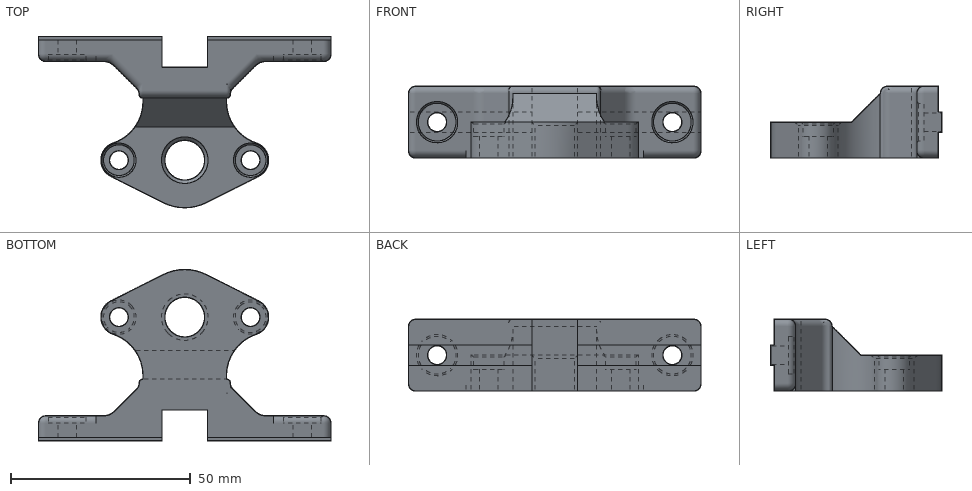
import cadquery as cq
import math

length = 81.3
depth = 47.65
height = 20.0
tab_depth = 1.0
tab_height = 5.7
edge_radius = 2.0
back_y = -tab_depth
slot_width = 12.5
slot_depth = 8.5

wing_thickness = 6.0
wing_front_y = back_y - wing_thickness
wing_inner_x = 24.6
wing_hole_x = 32.7
wing_hole_diameter = 5.2
wing_bore_diameter = 10.5
wing_bore_depth = 2.0

taper_start_x = 20.8
taper_fillet = 4.1
column_half_width = 12.7
column_front_y = -17.15
column_edge_radius = 1.0
column_fillet = 2.35

flange_thickness = 10.0
flange_y = -34.4
neck_half_width = 11.6
neck_radius = 12.0
lug_x = 18.3
lug_radius = 5.0
nose_radius = depth + flange_y
lug_hole_diameter = 5.1
lug_bore_diameter = 8.5
lug_bore_depth = 4.0
center_hole_diameter = 11.0
center_chamfer = 1.0
bore_chamfer = 0.5


def mirror_pair(shape):
    """Return the shape joined with its mirror image in X."""
    return shape.union(shape.mirror("YZ"))


def make_wing():
    """Right wing plate with rounded front, top, bottom and outer end edges."""
    wing = cq.Workplane("XY").box(
        length / 2 - wing_inner_x, wing_thickness, height, centered=False
    ).translate((wing_inner_x, wing_front_y, 0))
    outline_edges = wing.faces("<Y").edges("not <X")
    end_edges = wing.faces(">X").edges("|Y")
    return wing.newObject(outline_edges.vals() + end_edges.vals()).fillet(edge_radius)


def make_gusset():
    """Middle of the plate and the 45 degree tapered sides, rounded along the top."""
    taper_end_x = taper_start_x - (wing_front_y - column_front_y)
    gusset = (
        cq.Workplane("XY")
        .moveTo(-wing_inner_x, back_y)
        .lineTo(wing_inner_x, back_y)
        .lineTo(wing_inner_x, wing_front_y)
        .lineTo(taper_start_x, wing_front_y)
        .lineTo(taper_end_x, column_front_y)
        .lineTo(-taper_end_x, column_front_y)
        .lineTo(-taper_start_x, wing_front_y)
        .lineTo(-wing_inner_x, wing_front_y)
        .close()
        .extrude(height)
    )
    return gusset.faces(">Z").edges("not (>Y or <X or >X)").fillet(edge_radius)


def make_column():
    """Straight column between the tapered sides, rounded along its top and front edges."""
    column_depth = wing_front_y - column_front_y
    column = cq.Workplane("XY").box(
        2 * column_half_width, column_depth, height, centered=(True, False, False)
    ).translate((0, column_front_y, 0))
    column = column.faces(">Z").edges("<Y").fillet(edge_radius)
    return column.faces(">X or <X").edges("not (<Z or >Y)").fillet(column_edge_radius)


def blend_corners(block):
    """Round the upright inside corners at both ends of the tapered sides."""
    column_corner_y = wing_front_y - (taper_start_x - column_half_width)
    for side in (-1, 1):
        column_corner = (side * column_half_width, column_corner_y, height / 2)
        wing_corner = (side * taper_start_x, wing_front_y, height / 2)
        for corner, radius in ((column_corner, column_fillet), (wing_corner, taper_fillet)):
            block = block.edges(cq.selectors.NearestToPointSelector(corner)).fillet(radius)
    return block


def flange_outline():
    """Flange profile: lugs and nose joined by tangent lines, neck by tangent arcs."""
    normal_x = (nose_radius - lug_radius) / lug_x
    normal_y = -math.sqrt(1 - normal_x**2)
    nose_x = nose_radius * normal_x
    nose_y = flange_y + nose_radius * normal_y
    lug_low_x = lug_x + lug_radius * normal_x
    lug_low_y = flange_y + lug_radius * normal_y

    arc_x = neck_half_width + neck_radius
    center_distance = neck_radius + lug_radius
    arc_y = flange_y + math.sqrt(center_distance**2 - (arc_x - lug_x) ** 2)
    lug_share = lug_radius / center_distance
    lug_top_x = lug_x + lug_share * (arc_x - lug_x)
    lug_top_y = flange_y + lug_share * (arc_y - flange_y)
    end_angle = math.atan2(lug_top_y - arc_y, lug_top_x - arc_x) % (2 * math.pi)
    mid_angle = (math.pi + end_angle) / 2
    arc_mid_x = arc_x + neck_radius * math.cos(mid_angle)
    arc_mid_y = arc_y + neck_radius * math.sin(mid_angle)

    return (
        cq.Workplane("XY")
        .moveTo(-neck_half_width, wing_front_y)
        .lineTo(neck_half_width, wing_front_y)
        .lineTo(neck_half_width, arc_y)
        .threePointArc((arc_mid_x, arc_mid_y), (lug_top_x, lug_top_y))
        .threePointArc((lug_x + lug_radius, flange_y), (lug_low_x, lug_low_y))
        .lineTo(nose_x, nose_y)
        .threePointArc((0, flange_y - nose_radius), (-nose_x, nose_y))
        .lineTo(-lug_low_x, lug_low_y)
        .threePointArc((-lug_x - lug_radius, flange_y), (-lug_top_x, lug_top_y))
        .threePointArc((-arc_mid_x, arc_mid_y), (-neck_half_width, arc_y))
        .close()
    )


def make_flange():
    """Flange with a 45 degree ramp that climbs to the column."""
    ramp_top = height - edge_radius
    ramp_end_y = column_front_y - (ramp_top - flange_thickness)
    side_profile = (
        cq.Workplane("YZ")
        .moveTo(wing_front_y, 0)
        .lineTo(wing_front_y, ramp_top)
        .lineTo(column_front_y, ramp_top)
        .lineTo(ramp_end_y, flange_thickness)
        .lineTo(flange_y - nose_radius, flange_thickness)
        .lineTo(flange_y - nose_radius, 0)
        .close()
        .extrude(length / 2, both=True)
    )
    return flange_outline().extrude(height).intersect(side_profile)


def make_tab():
    """Full-length locating tab on the back face."""
    return cq.Workplane("XY").box(
        length, tab_depth, tab_height, centered=(True, False, True)
    ).translate((0, back_y, height / 2))


def bore_cutter(hole_diameter, bore_diameter, bore_depth, through_length):
    """Stepped hole along -Z from the origin with a chamfered mouth."""
    hole = cq.Workplane("XY").circle(hole_diameter / 2).extrude(-through_length)
    bore = cq.Workplane("XY").circle(bore_diameter / 2).extrude(-bore_depth)
    mouth = (
        cq.Workplane("XY")
        .circle(bore_diameter / 2 + bore_chamfer)
        .extrude(-bore_chamfer, taper=45)
    )
    return hole.union(bore).union(mouth)


def cut_holes(body):
    """Cut the wing screw holes, the lug screw holes and the central bore."""
    wing_cutter = bore_cutter(
        wing_hole_diameter, wing_bore_diameter, wing_bore_depth, wing_thickness + tab_depth
    ).rotate((0, 0, 0), (1, 0, 0), 90)
    wing_cutter = wing_cutter.translate((wing_hole_x, wing_front_y, height / 2))
    lug_cutter = bore_cutter(
        lug_hole_diameter, lug_bore_diameter, lug_bore_depth, flange_thickness
    ).translate((lug_x, flange_y, flange_thickness))

    center_radius = center_hole_diameter / 2
    center_top = cq.Workplane("XY", origin=(0, flange_y, flange_thickness))
    center_hole = center_top.circle(center_radius).extrude(-flange_thickness)
    center_mouth = center_top.circle(center_radius + center_chamfer).extrude(-center_chamfer, taper=45)

    body = body.cut(mirror_pair(wing_cutter)).cut(mirror_pair(lug_cutter))
    return body.cut(center_hole).cut(center_mouth)


def cut_slot(body):
    """Cut the central notch through the back of the plate."""
    slot = cq.Workplane("XY").box(
        slot_width, slot_depth, height, centered=(True, False, False)
    ).translate((0, -slot_depth, 0))
    return body.cut(slot)


block = blend_corners(make_gusset().union(make_column()))
body = block.union(mirror_pair(make_wing())).union(make_flange()).union(make_tab())
result = cut_slot(cut_holes(body))